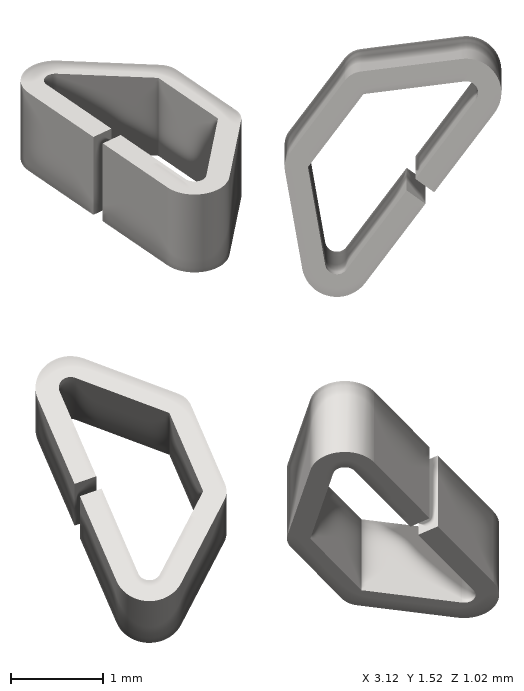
import cadquery as cq
import math

width = 3.12
depth = 1.52
height = 1.02
wall = 0.253
gap = 0.16
bend_radius = 0.38
back_inner_width = 1.015

front_bend_x = width / 2 - bend_radius
front_bend_y = bend_radius - depth / 2
back_corner_x = back_inner_width / 2
back_corner_y = depth / 2 - wall
inner_bend_radius = bend_radius - wall

run = front_bend_x - back_corner_x
rise = back_corner_y - front_bend_y
slant = math.atan2(rise, run) - math.asin(inner_bend_radius / math.hypot(run, rise))
normal_angle = math.pi / 2 - slant


def bend_point(center_x, center_y, radius, angle):
    return (center_x + radius * math.cos(angle), center_y + radius * math.sin(angle))


def mirrored(point):
    return (-point[0], point[1])


def ring_profile(front_radius, back_radius):
    """Closed trapezoid outline; a zero back radius leaves the back corners sharp."""
    front_start = (front_bend_x, front_bend_y - front_radius)
    front_middle_angle = (normal_angle - math.pi / 2) / 2
    front_middle = bend_point(front_bend_x, front_bend_y, front_radius, front_middle_angle)
    front_end = bend_point(front_bend_x, front_bend_y, front_radius, normal_angle)
    back_start = bend_point(back_corner_x, back_corner_y, back_radius, normal_angle)
    back_middle_angle = (normal_angle + math.pi / 2) / 2
    back_middle = bend_point(back_corner_x, back_corner_y, back_radius, back_middle_angle)
    back_end = (back_corner_x, back_corner_y + back_radius)

    profile = cq.Workplane("XY").moveTo(*front_start)
    profile = profile.threePointArc(front_middle, front_end).lineTo(*back_start)
    if back_radius > 0:
        profile = profile.threePointArc(back_middle, back_end)
    profile = profile.lineTo(*mirrored(back_end))
    if back_radius > 0:
        profile = profile.threePointArc(mirrored(back_middle), mirrored(back_start))
    profile = profile.lineTo(*mirrored(front_end))
    profile = profile.threePointArc(mirrored(front_middle), mirrored(front_start))
    return profile.close()


outer = ring_profile(bend_radius, wall).extrude(height)
opening = ring_profile(inner_bend_radius, 0).extrude(height)
ring = outer.cut(opening)

front_gap = (
    cq.Workplane("XY")
    .center(0, (wall - depth) / 2)
    .rect(gap, wall)
    .extrude(height)
)

result = ring.cut(front_gap)